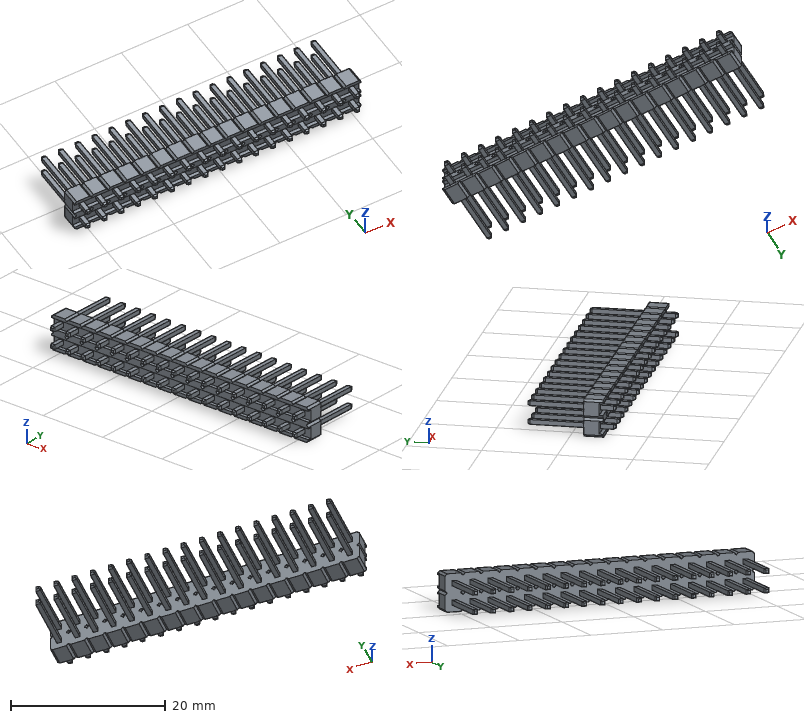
import cadquery as cq
import math

columns = 17
rows = 2
length = 43.2
pitch = length / columns
height = rows * pitch

body_depth = 2.55
corner_chamfer = 0.3
groove_width = 1.55
groove_depth = 0.5

pin_size = 0.65
pin_length = 11.6
pin_front_reach = 1.45
tip_length = 0.3
tip_inset = 0.15
tip_taper = math.degrees(math.atan(tip_inset / tip_length))


def centered_places(count):
    """Positions of count items spaced one pitch apart and centred on zero."""
    return [(i - (count - 1) / 2) * pitch for i in range(count)]


pin_places = [(x, z) for x in centered_places(columns) for z in centered_places(rows)]
cell_corners = [(x, z) for x in centered_places(columns + 1) for z in centered_places(rows + 1)]


def make_body():
    """Block with its front face on Y = 0, V notches between cells and a groove along each row."""
    body = cq.Workplane("XY").box(length, body_depth, height, centered=(True, False, True))
    notches = (
        cq.Workplane("XZ")
        .pushPoints(cell_corners)
        .polygon(4, 2 * corner_chamfer)
        .extrude(-body_depth)
    )
    body = body.cut(notches)
    for z in centered_places(rows):
        groove = cq.Workplane("XY").box(length, groove_depth, groove_width, centered=(True, False, True))
        body = body.cut(groove.translate((0, 0, z)))
    return body


def make_pin():
    """Square pin standing along its own Z axis, tapered at both ends, with its front tip at the top."""
    half_length = pin_length / 2
    half = (
        cq.Workplane("XY")
        .rect(pin_size, pin_size)
        .extrude(half_length - tip_length)
        .faces(">Z")
        .workplane()
        .rect(pin_size, pin_size)
        .extrude(tip_length, taper=tip_taper)
    )
    pin = half.union(half.mirror("XY"))
    return pin.translate((0, 0, pin_front_reach - half_length)).val()


def make_pins():
    """One pin in every cell, turned so that its front tip points toward -Y."""
    pin = make_pin()
    cells = cq.Workplane("XZ").pushPoints(pin_places)
    return cells.eachpoint(lambda place: pin.moved(place), useLocalCoordinates=True)


result = make_body().union(make_pins())